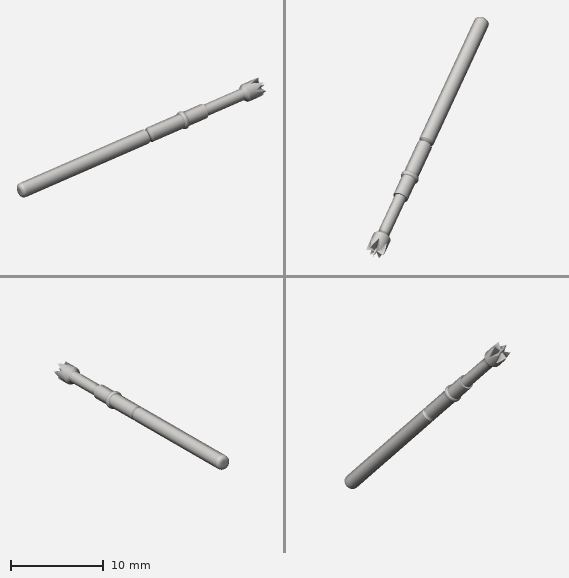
import cadquery as cq
import math

overall_length = 32.0

barrel_radius = 0.83
barrel_length = 24.0
tail_round = 0.45

groove_center = 16.68
groove_width = 0.5
groove_depth = 0.25

collar_center = 21.27
collar_radius = 1.0
collar_width = 0.54

shaft_radius = 0.65
head_radius = 1.0
head_shoulder = 29.36
shoulder_cone_length = 0.4

tooth_count = 6
tooth_tip = overall_length - 0.55
crown_center = overall_length - 0.8
valley_rim = overall_length - 1.86
wedge_reach = 1.5

needle_base_radius = 0.26
needle_base = crown_center - 0.3


def make_body():
    """Barrel, shaft and head blank as one turned profile in (radius, Y)."""
    groove_bottom_radius = barrel_radius - groove_depth
    round_middle = tail_round * math.sqrt(0.5)
    round_center_radius = barrel_radius - tail_round
    profile = (
        cq.Workplane("XY")
        .moveTo(0, 0)
        .lineTo(round_center_radius, 0)
        .threePointArc(
            (round_center_radius + round_middle, tail_round - round_middle),
            (barrel_radius, tail_round),
        )
        .lineTo(barrel_radius, groove_center - groove_width / 2)
        .lineTo(groove_bottom_radius, groove_center)
        .lineTo(barrel_radius, groove_center + groove_width / 2)
        .lineTo(barrel_radius, barrel_length)
        .lineTo(shaft_radius, barrel_length)
        .lineTo(shaft_radius, head_shoulder - shoulder_cone_length)
        .lineTo(head_radius, head_shoulder)
        .lineTo(head_radius, tooth_tip)
        .lineTo(0, tooth_tip)
        .close()
    )
    return profile.revolve(360, (0, 0, 0), (0, 1, 0))


def make_collar():
    """Ring whose outer half bulges out of the barrel as half an ellipse."""
    section = (
        cq.Workplane("XY")
        .center(barrel_radius, collar_center)
        .ellipse(collar_radius - barrel_radius, collar_width / 2)
    )
    return section.revolve(360, (-barrel_radius, 0, 0), (-barrel_radius, 1, 0))


def make_crown_cutter():
    """Wedge with its point on the axis that opens outward between two neighboring ridges."""
    outer_plane = wedge_reach * head_radius
    half_pitch = math.pi / tooth_count

    def outer_point(angle, rim_height):
        """Where the line from the crown center through a rim point meets the outer face."""
        radius = outer_plane / math.cos(angle)
        height = crown_center + (rim_height - crown_center) * radius / head_radius
        return cq.Vector(radius * math.sin(angle), height, outer_plane)

    center = cq.Vector(0, crown_center, 0)
    valley = outer_point(0, valley_rim)
    left_ridge = outer_point(-half_pitch, tooth_tip)
    right_ridge = outer_point(half_pitch, tooth_tip)
    lift = cq.Vector(0, overall_length - crown_center, 0)
    top_center = center + lift
    top_left = left_ridge + lift
    top_right = right_ridge + lift
    outlines = [
        [center, valley, left_ridge],
        [center, right_ridge, valley],
        [center, left_ridge, top_left, top_center],
        [center, top_center, top_right, right_ridge],
        [valley, right_ridge, top_right, top_left, left_ridge],
        [top_center, top_left, top_right],
    ]
    faces = [cq.Face.makeFromWires(cq.Wire.makePolygon(points, close=True)) for points in outlines]
    return cq.Workplane(cq.Solid.makeSolid(cq.Shell.makeShell(faces)))


def cut_crown(body):
    """Cut one wedge per tooth gap; the first gap faces +Z."""
    cutter = make_crown_cutter()
    for index in range(tooth_count):
        turn = index * 360 / tooth_count
        body = body.cut(cutter.rotate((0, 0, 0), (0, 1, 0), turn))
    return body


def make_needle():
    """Slender sharp cone that rises from the middle of the crown."""
    return cq.Workplane(
        cq.Solid.makeCone(
            needle_base_radius,
            0,
            overall_length - needle_base,
            cq.Vector(0, needle_base, 0),
            cq.Vector(0, 1, 0),
        )
    )


body = make_body().union(make_collar())
result = cut_crown(body).union(make_needle())